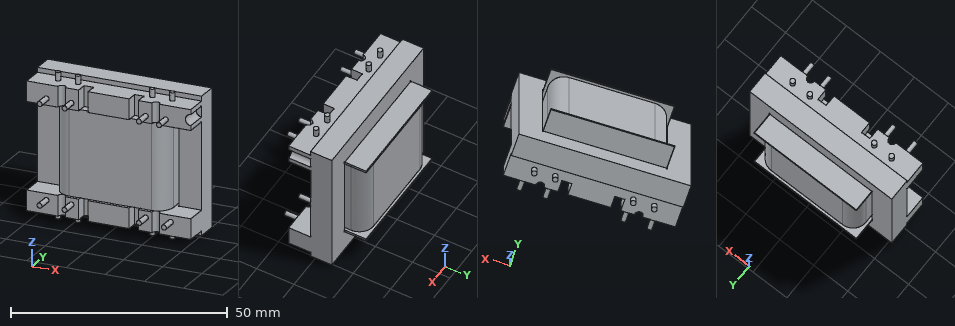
import cadquery as cq


overall_depth = 21.08
overall_height = 36.45

core_width = 41.91
core_height = 34.8
core_depth = 5.7
window_half_width = 15.17

winding_width = 28.7
winding_length = 22.0
winding_corner_radius = 3.85
flange_width = 30.1
flange_thickness = 0.6
flange_back_y = 11.42
winding_back_recess = 0.65
winding_back_y = flange_back_y - winding_back_recess
flange_height = winding_length + 2 * flange_thickness

rail_depth = 5.9
rail_front_y = -rail_depth
rail_inner_z = winding_length / 2
rail_outer_z = 16.18
rail_height = rail_outer_z - rail_inner_z
rail_middle_z = (rail_outer_z + rail_inner_z) / 2
winding_front_recess = 0.8
winding_front_y = rail_front_y + winding_front_recess
winding_depth = winding_back_y - winding_front_y

square_notch_x = 6.43
square_notch_width = 2.38
square_notch_depth = 2.97
wire_groove_x = 11.99
wire_groove_radius = 0.96
wire_groove_depth = 1.07
index_notch_radius = 1.37
index_notch_z = 13.58
index_notch_depth = rail_depth

pin_radius = 0.635
pin_root = 1.0
inner_pin_x = 9.48
outer_pin_x = 15.85
index_pin_x = 14.58
front_pin_z = 12.66
front_pin_tip_y = flange_back_y - overall_depth
end_pin_y = -2.28
end_pin_tip_z = overall_height / 2


def block(width, depth, height, front_y, middle_z=0):
    """Box centred on X = 0 that reaches back from front_y."""
    box = cq.Workplane("XY").box(width, depth, height)
    return box.translate((0, front_y + depth / 2, middle_z))


def front_cylinder(x, z, radius, start_y, end_y):
    """Cylinder along Y between two depths, start_y being the lower one."""
    plane = cq.Workplane("XZ", origin=(x, start_y, z))
    return plane.circle(radius).extrude(start_y - end_y)


def make_core():
    frame = block(core_width, core_depth, core_height, 0)
    window = block(2 * window_half_width, core_depth, flange_height, 0)
    return frame.cut(window)


def make_winding():
    coil = block(winding_width, winding_depth, winding_length, winding_front_y)
    return coil.edges("|Z").fillet(winding_corner_radius)


def make_flange(side):
    middle_z = side * (winding_length + flange_thickness) / 2
    return block(flange_width, flange_back_y, flange_thickness, 0, middle_z)


def make_wire_groove(x, middle_z):
    """Round-bottomed groove along Z, open at the rail front."""
    centre_y = rail_front_y + wire_groove_depth - wire_groove_radius
    plane = cq.Workplane("XY", origin=(x, centre_y, middle_z - rail_height / 2))
    round_bottom = plane.circle(wire_groove_radius).extrude(rail_height)
    mouth_depth = centre_y - rail_front_y
    mouth = block(2 * wire_groove_radius, mouth_depth, rail_height, rail_front_y, middle_z)
    return round_bottom.union(mouth.translate((x, 0, 0)))


def make_rail(side):
    middle_z = side * rail_middle_z
    rail = block(core_width, rail_depth, rail_height, rail_front_y, middle_z)
    notch = block(square_notch_width, square_notch_depth, rail_height, rail_front_y, middle_z)
    for x_side in (-1, 1):
        rail = rail.cut(notch.translate((x_side * square_notch_x, 0, 0)))
        rail = rail.cut(make_wire_groove(x_side * wire_groove_x, middle_z))
    return rail


def make_index_notch():
    """Half-round notch in the +X end of the upper rail."""
    end_y = rail_front_y + index_notch_depth
    return front_cylinder(core_width / 2, index_notch_z, index_notch_radius, rail_front_y, end_y)


def make_front_pin(x, z):
    return front_cylinder(x, z, pin_radius, front_pin_tip_y, rail_front_y + pin_root)


def make_end_pin(x, side):
    root_z = rail_outer_z - pin_root
    plane = cq.Workplane("XY", origin=(x, end_pin_y, side * root_z))
    return plane.circle(pin_radius).extrude(side * (end_pin_tip_z - root_z))


result = make_core()
for end in (-1, 1):
    result = result.union(make_rail(end)).union(make_flange(end))
result = result.union(make_winding()).cut(make_index_notch())

for end in (-1, 1):
    last_pin_x = index_pin_x if end > 0 else outer_pin_x
    for pin_x in (-outer_pin_x, -inner_pin_x, inner_pin_x, last_pin_x):
        result = result.union(make_front_pin(pin_x, end * front_pin_z))
    for pin_x in (-index_pin_x, -inner_pin_x, inner_pin_x, index_pin_x):
        result = result.union(make_end_pin(pin_x, end))